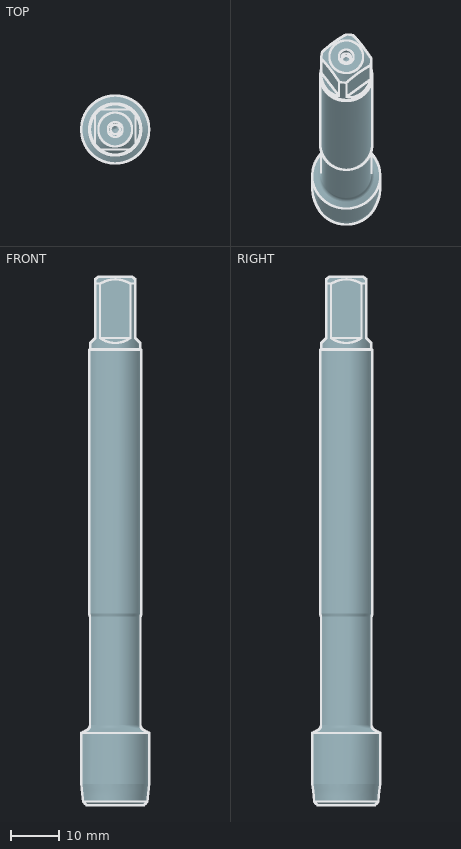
import cadquery as cq
import math

TOTAL_LENGTH = 110.0
TIP_CHAMFER_HEIGHT = 0.8
LEAD_HEIGHT = 4.4
HEAD_LENGTH = 15.1
HEAD_SHOULDER_HEIGHT = 0.7
NECK_FLARE_HEIGHT = 1.0
SHANK_START = 39.3
SHANK_END = 94.9
SHANK_BOTTOM_CHAMFER_HEIGHT = 0.5
SHANK_TOP_CHAMFER_HEIGHT = 0.2
SQUARE_START = 97.2
DRIVE_TOP_CHAMFER_HEIGHT = 1.4

TIP_DIAMETER = 11.9
LEAD_DIAMETER = 13.4
HEAD_DIAMETER = 14.2
FLARE_DIAMETER = 11.7
NECK_DIAMETER = 10.6
SHANK_DIAMETER = 10.9
DRIVE_DIAMETER = 10.5
DRIVE_TOP_DIAMETER = 7.0
SQUARE_WIDTH = 8.4

CENTRE_MOUTH_DIAMETER = 3.1
CENTRE_PILOT_DIAMETER = 2.0
CENTRE_CONE_ANGLE = 60.0
CENTRE_PILOT_DEPTH = 2.0
DRILL_POINT_ANGLE = 120.0


def cone_height(large_diameter, small_diameter, included_angle):
    """Axial length of a cone between two diameters."""
    return (large_diameter - small_diameter) / 2 / math.tan(math.radians(included_angle / 2))


def make_head():
    """Solid cutting head with a tapered lead and a chamfered tip."""
    profile = (
        cq.Workplane("XZ")
        .lineTo(TIP_DIAMETER / 2, 0)
        .lineTo(LEAD_DIAMETER / 2, TIP_CHAMFER_HEIGHT)
        .lineTo(HEAD_DIAMETER / 2, LEAD_HEIGHT)
        .lineTo(HEAD_DIAMETER / 2, HEAD_LENGTH)
        .lineTo(0, HEAD_LENGTH)
        .close()
    )
    return profile.revolve()


def make_turned_shank():
    """Round shank with its shoulder, flared neck and drive end."""
    flare_start = HEAD_LENGTH + HEAD_SHOULDER_HEIGHT
    flare_end = flare_start + NECK_FLARE_HEIGHT
    neck_radius = NECK_DIAMETER / 2
    flare_width = FLARE_DIAMETER / 2 - neck_radius
    flare_radius = (flare_width**2 + NECK_FLARE_HEIGHT**2) / (2 * flare_width)
    half_sweep = math.asin(NECK_FLARE_HEIGHT / flare_radius) / 2
    flare_middle = (
        neck_radius + flare_radius * (1 - math.cos(half_sweep)),
        flare_end - flare_radius * math.sin(half_sweep),
    )
    profile = (
        cq.Workplane("XZ")
        .moveTo(0, HEAD_LENGTH)
        .lineTo(HEAD_DIAMETER / 2, HEAD_LENGTH)
        .lineTo(FLARE_DIAMETER / 2, flare_start)
        .threePointArc(flare_middle, (neck_radius, flare_end))
        .lineTo(neck_radius, SHANK_START)
        .lineTo(SHANK_DIAMETER / 2, SHANK_START + SHANK_BOTTOM_CHAMFER_HEIGHT)
        .lineTo(SHANK_DIAMETER / 2, SHANK_END - SHANK_TOP_CHAMFER_HEIGHT)
        .lineTo(DRIVE_DIAMETER / 2, SHANK_END)
        .lineTo(DRIVE_DIAMETER / 2, TOTAL_LENGTH - DRIVE_TOP_CHAMFER_HEIGHT)
        .lineTo(DRIVE_TOP_DIAMETER / 2, TOTAL_LENGTH)
        .lineTo(0, TOTAL_LENGTH)
        .close()
    )
    return profile.revolve()


def make_flat_cutter():
    """Material removed for one flat, ending in a 45 degree sloping run-out."""
    flat = SQUARE_WIDTH / 2
    run_out = DRIVE_DIAMETER / 2 - flat
    reach = 2 * run_out
    return (
        cq.Workplane("XZ")
        .moveTo(flat, SQUARE_START)
        .lineTo(flat + reach, SQUARE_START - reach)
        .lineTo(flat + reach, TOTAL_LENGTH)
        .lineTo(flat, TOTAL_LENGTH)
        .close()
        .extrude(DRIVE_DIAMETER / 2, both=True)
    )


def make_centre_hole():
    """Countersunk centre hole with a pointed pilot bore."""
    pilot_radius = CENTRE_PILOT_DIAMETER / 2
    cone_end = TOTAL_LENGTH - cone_height(CENTRE_MOUTH_DIAMETER, CENTRE_PILOT_DIAMETER, CENTRE_CONE_ANGLE)
    pilot_end = cone_end - CENTRE_PILOT_DEPTH
    point = pilot_end - cone_height(CENTRE_PILOT_DIAMETER, 0, DRILL_POINT_ANGLE)
    profile = (
        cq.Workplane("XZ")
        .moveTo(0, TOTAL_LENGTH)
        .lineTo(CENTRE_MOUTH_DIAMETER / 2, TOTAL_LENGTH)
        .lineTo(pilot_radius, cone_end)
        .lineTo(pilot_radius, pilot_end)
        .lineTo(0, point)
        .close()
    )
    return profile.revolve()


def make_shank():
    """Shank with its driving square and centre hole."""
    shank = make_turned_shank()
    flat_cutter = make_flat_cutter()
    for angle in (0, 90, 180, 270):
        shank = shank.cut(flat_cutter.rotate((0, 0, 0), (0, 0, 1), angle))
    return shank.cut(make_centre_hole())


head = make_head()
shank = make_shank()

result = cq.Compound.makeCompound([head.val(), shank.val()])